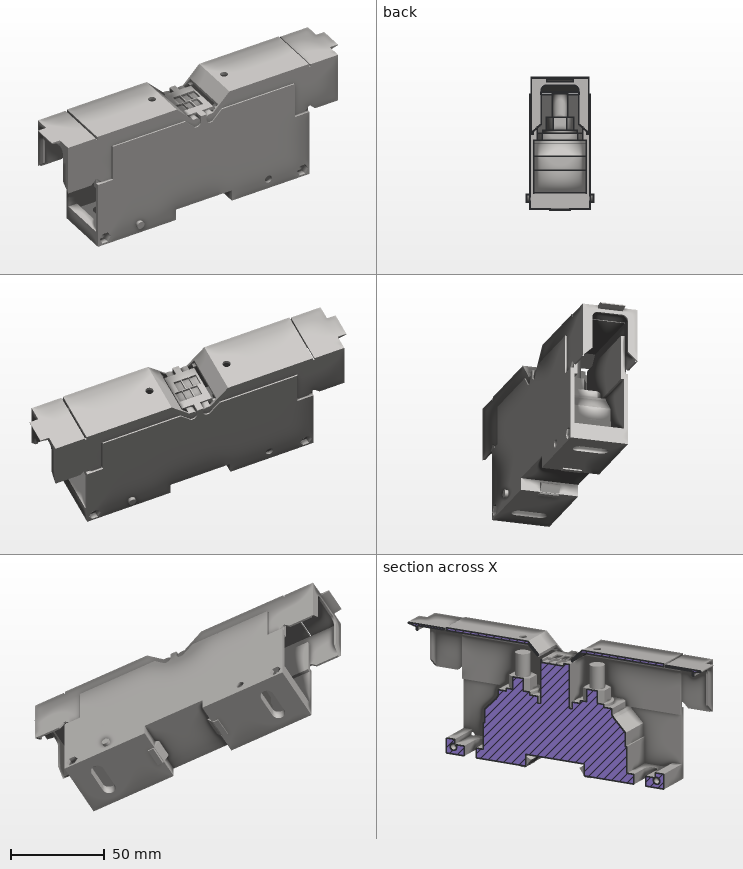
import cadquery as cq


body_half_length = 66.2
body_half_width = 16.1
body_top = 61.2
side_skin_inner = 14.3
rail_half_length = 17.5
rail_depth = 6.6

cover_half_width = 15.4
cover_top = 70.3
cap_top = 69.8
cap_half_length = 84.5
skirt_bottom = 40.5
roof_underside = 68.5
end_plate = 1.3
arch_half_width = 10.0
arch_top = 66.0
arch_radius = 3.2
arch_splay_z = 45.3
panel_half_length = 57.0
slope_start = 16.5
slope_end = slope_start - (cover_top - body_top)
slope_thickness = 1.6
window_half_length = 10.0
skirt_gap = 0.5
notch_width = 0.9
notch_corner = 43.3
tab_half_length = 89.5
tab_half_width = 7.0
tab_root_depth = 1.8
tab_tip_depth = 0.5

hook_radius = 2.5
hook_y = 4.3
hook_z = 57.6
arm_outer_y = 11.5
hook_root_y = arm_outer_y - (body_top - hook_z + hook_radius)
hook_top = hook_z + hook_radius
hook_notch_y = slope_end - (body_top - hook_top)

tower_half_length = 8.8
tower_half_width = 11.5
lower_half_width = 14.0
upper_half_width = 12.2
sill_height = 8.6
sill_length = 5.4
floor_height = 5.7
block_front_y = 43.9
block_top = 36.7
block_step_z = 20.5
block_step_y = 43.0
block_slope_bottom = 28.1
block_slope_top = 35.0
block_slope_y = block_step_y - (block_slope_top - block_slope_bottom)
block_lip_y = 34.9
drain_slot_y = 51.5
drain_slot_width = 7.2
drain_slot_length = 19.7

stud_y = 22.5
stud_radius = 4.1
stud_top = 61.8
nut_corners = 14.9
nut_bottom = 42.0
nut_top = 49.0
washer_radius = 9.1
plate_top = 40.5
plate_corner = 2.7
access_hole = 4.3

pin_y = 40.5
pin_z = 5.7
pin_radius = 2.1
overall_width = 36.0
pin_reach = overall_width / 2
pin_socket_depth = 1.8
mount_y = 61.8
mount_z = 4.1
mount_hole = 3.5
hex_corners = 6.8
hex_depth = 3.2
clip_half_width = 5.4
foot_depth = 0.7
foot_outer_y = rail_half_length + 3.8
foot_inner_y = rail_half_length + 0.7
clip_tip_y = rail_half_length - 2.9
clip_tip_z = 4.1
clip_top = 5.5

contact_length = 4.1
contact_depth = 1.5
left_contacts = (5.7, 1.5, -3.2)
right_contacts = (3.4, -1.3, -5.5)
contact_inner_x = 0.2
contact_outer_x = 6.8


def box(x0, x1, y0, y1, z0, z1):
    return cq.Workplane("XY").box(x1 - x0, y1 - y0, z1 - z0, centered=False).translate((x0, y0, z0))


def profile(points, half_width):
    """Y-Z outline extruded symmetrically across X."""
    return cq.Workplane("YZ").polyline(points).close().extrude(half_width, both=True)


def both_ends(shape):
    return shape.union(shape.mirror("XZ"))


def cylinder(radius, y, z0, z1):
    return cq.Workplane("XY", origin=(0, y, z0)).circle(radius).extrude(z1 - z0)


def cross_pin(radius, y, z, x0, x1):
    return cq.Workplane("YZ", origin=(x0, y, z)).circle(radius).extrude(x1 - x0)


def arm_underside():
    """Lower edge of a cover arm, from the panel top to the bottom of its hook."""
    return (
        cq.Workplane("YZ")
        .moveTo(arm_outer_y, body_top)
        .lineTo(hook_root_y, hook_z - hook_radius)
        .lineTo(hook_y, hook_z - hook_radius)
    )


def make_hook_slot():
    """Full-width slot, open at the top, that admits an arm and its hook."""
    return (
        arm_underside()
        .radiusArc((hook_y - hook_radius, hook_z), hook_radius)
        .lineTo(hook_y - hook_radius, body_top)
        .close()
        .extrude(body_half_width, both=True)
    )


def make_hook_arm():
    """Full-width sloping arm that ends in a rounded hook."""
    return (
        arm_underside()
        .threePointArc((hook_y - hook_radius, hook_z), (hook_y, hook_top))
        .lineTo(hook_notch_y, hook_top)
        .lineTo(slope_end, body_top)
        .close()
        .extrude(cover_half_width, both=True)
    )


def make_terminal_block():
    """Stepped and bevelled block that carries the stud."""
    return profile(
        [
            (0, 0),
            (block_front_y, 0),
            (block_front_y, block_step_z),
            (block_step_y, block_step_z),
            (block_step_y, block_slope_bottom),
            (block_slope_y, block_slope_top),
            (block_lip_y, block_top),
            (0, block_top),
        ],
        lower_half_width,
    )


def make_compartment():
    """Cavity at one end of the housing, open at the end and at the top."""
    sill_y = body_half_length - sill_length
    low = box(
        -lower_half_width, lower_half_width,
        tower_half_length, body_half_length, sill_height, block_top,
    )
    floor = box(-lower_half_width, lower_half_width, block_front_y, sill_y, floor_height, sill_height)
    high = box(
        -upper_half_width, upper_half_width,
        tower_half_length, body_half_length, block_top, body_top,
    )
    drain = (
        cq.Workplane("XY", origin=(0, drain_slot_y, 0))
        .slot2D(drain_slot_length, drain_slot_width)
        .extrude(floor_height)
    )
    return low.union(floor).cut(make_terminal_block()).union(high).union(drain)


def make_skirt_recess():
    """Step in the housing sides that receives the cover skirts at one end."""
    recess = box(
        side_skin_inner, body_half_width,
        panel_half_length, body_half_length, skirt_bottom - skirt_gap, body_top,
    )
    return recess.union(recess.mirror("YZ"))


def make_body():
    body = box(-body_half_width, body_half_width, -body_half_length, body_half_length, 0, body_top)
    rail = box(-body_half_width, body_half_width, -rail_half_length, rail_half_length, 0, rail_depth)
    tower = box(-tower_half_width, tower_half_width, 0, tower_half_length, 0, body_top)
    end_walls = box(-side_skin_inner, side_skin_inner, tower_half_length, arm_outer_y, 0, body_top)
    hook_slot = make_hook_slot().cut(tower).cut(end_walls)
    return (
        body.cut(rail)
        .cut(both_ends(make_compartment()))
        .cut(both_ends(make_skirt_recess()))
        .cut(both_ends(hook_slot))
    )


def make_cover_outline():
    """Solid outline of one half of the cover, before it is hollowed."""
    notch_outer = body_half_length + notch_width
    notch_rise = notch_corner - skirt_bottom
    outline = profile(
        [
            (slope_start, cover_top),
            (body_half_length, cover_top),
            (body_half_length, roof_underside),
            (notch_outer, roof_underside),
            (notch_outer, cap_top),
            (cap_half_length, cap_top),
            (cap_half_length, skirt_bottom),
            (notch_outer + notch_rise, skirt_bottom),
            (notch_outer, notch_corner),
            (body_half_length, notch_corner),
            (body_half_length - notch_rise, skirt_bottom),
            (panel_half_length + skirt_gap, skirt_bottom),
            (panel_half_length + skirt_gap, body_top),
            (arm_outer_y, body_top),
            (slope_end, body_top),
        ],
        cover_half_width,
    )
    return outline.union(make_hook_arm())


def make_end_arch():
    """Opening in the end plate: arched top, splayed bottom corners."""
    return (
        cq.Workplane("XZ", origin=(0, cap_half_length, 0))
        .moveTo(-cover_half_width, skirt_bottom)
        .lineTo(-arch_half_width, arch_splay_z)
        .lineTo(-arch_half_width, arch_top - arch_radius)
        .radiusArc((-arch_half_width + arch_radius, arch_top), arch_radius)
        .lineTo(arch_half_width - arch_radius, arch_top)
        .radiusArc((arch_half_width, arch_top - arch_radius), arch_radius)
        .lineTo(arch_half_width, arch_splay_z)
        .lineTo(cover_half_width, skirt_bottom)
        .close()
        .extrude(end_plate)
    )


def make_cover_half():
    inner_slope_y = slope_start - (cover_top - slope_thickness - roof_underside)
    window_edge_z = cover_top - (slope_start - window_half_length) - slope_thickness
    hollow = profile(
        [
            (0, 0),
            (0, cover_top),
            (window_half_length, cover_top),
            (window_half_length, window_edge_z),
            (inner_slope_y, roof_underside),
            (cap_half_length - end_plate, roof_underside),
            (cap_half_length - end_plate, 0),
        ],
        side_skin_inner,
    )
    tab = profile(
        [
            (cap_half_length, cap_top),
            (tab_half_length, cap_top),
            (tab_half_length, cap_top - tab_tip_depth),
            (cap_half_length, cap_top - tab_root_depth),
        ],
        tab_half_width,
    )
    hole = cylinder(access_hole / 2, stud_y, roof_underside, cover_top)
    hooks = make_hook_arm().intersect(
        box(-cover_half_width, cover_half_width, 0, hook_notch_y, 0, hook_top)
    ).cut(box(-tower_half_width, tower_half_width, 0, hook_notch_y, 0, hook_top))
    return make_cover_outline().cut(hollow).cut(make_end_arch()).cut(hole).union(tab).union(hooks)


def make_stud():
    """Base plate, washer, hexagon nut and stud on top of the terminal block."""
    base = box(
        -upper_half_width, upper_half_width,
        stud_y - upper_half_width, stud_y + upper_half_width, block_top, plate_top,
    ).edges("|Z").chamfer(plate_corner)
    washer = cylinder(washer_radius, stud_y, plate_top, nut_bottom)
    nut = (
        cq.Workplane("XY", origin=(0, stud_y, nut_bottom))
        .polygon(6, nut_corners)
        .extrude(nut_top - nut_bottom)
    )
    return base.union(washer).union(nut).union(cylinder(stud_radius, stud_y, nut_top, stud_top))


def make_clip():
    """Spring foot that hooks over the mounting rail."""
    return profile(
        [
            (foot_outer_y, clip_top),
            (foot_outer_y, -foot_depth),
            (foot_inner_y, -foot_depth),
            (clip_tip_y, clip_tip_z),
            (rail_half_length, clip_top),
        ],
        clip_half_width,
    )


def make_mount_hole():
    """Cross hole with a hexagonal recess on each side."""
    hole = cross_pin(mount_hole / 2, mount_y, mount_z, -body_half_width, body_half_width)
    recess = (
        cq.Workplane("YZ", origin=(-body_half_width, mount_y, mount_z))
        .polygon(6, hex_corners)
        .extrude(hex_depth)
    )
    return hole.union(recess).union(recess.mirror("YZ"))


def make_contacts():
    """Two columns of contact pockets, offset from each other."""
    columns = (
        (-contact_outer_x, -contact_inner_x, left_contacts),
        (contact_inner_x, contact_outer_x, right_contacts),
    )
    half = contact_length / 2
    pockets = cq.Workplane("XY")
    for x0, x1, centres in columns:
        for y in centres:
            pockets = pockets.union(box(x0, x1, y - half, y + half, body_top - contact_depth, body_top))
    return pockets


result = make_body().union(both_ends(make_cover_half())).union(both_ends(make_stud()))
result = result.union(both_ends(make_clip())).cut(both_ends(make_mount_hole())).cut(make_contacts())

for side in (-1, 1):
    face_x = side * body_half_width
    socket_x = side * (body_half_width - pin_socket_depth)
    result = result.union(cross_pin(pin_radius, -side * pin_y, pin_z, face_x, side * pin_reach))
    result = result.cut(cross_pin(pin_radius, side * pin_y, pin_z, socket_x, face_x))